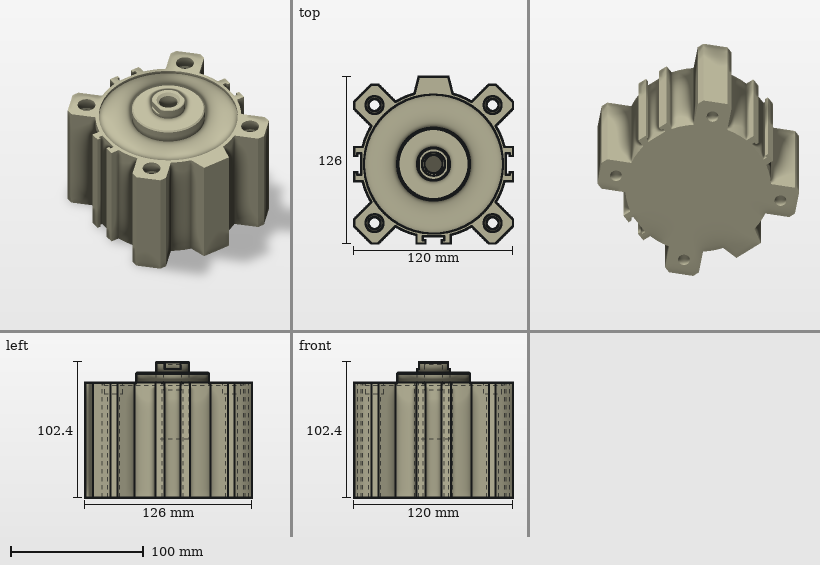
import cadquery as cq

housing_height = 87.1
housing_width = 120.0
barrel_diameter = 110.2

recess_diameter = 105.0
recess_depth = 2.4
collar_diameter = 55.0
collar_height = 7.5
collar_chamfer = 1.0

lug_width = 25.8
lug_reach = 75.6
lug_count = 4
lug_angle = 45
bolt_circle_radius = 63.0
bolt_hole_diameter = 9.0
bolt_counterbore_diameter = 13.5
bolt_counterbore_depth = 8.5

rail_width = 26.1
rail_lip_thickness = 2.5
slot_mouth_width = 12.1
slot_inner_width = 16.0
slot_floor_radius = 54.5
rail_angles = (0, 180, 270)

boss_reach = 66.0
boss_tip_width = 22.4
boss_root_width = 29.0
boss_root_y = 53.0

rod_diameter = 25.0
rod_exposed_height = 7.8
rod_insertion = 50.0
rod_chamfer = 0.5
flat_spacing = 22.0
flat_height = 5.0
rod_hole_diameter = 13.9
rod_hole_depth = 21.0
rod_hole_mouth_diameter = 17.6
rod_hole_mouth_angle = 90

half_width = housing_width / 2
recess_floor = housing_height - recess_depth
collar_top = housing_height + collar_height
rod_top = collar_top + rod_exposed_height
rod_bottom = collar_top - rod_insertion


def make_lugs():
    """Diagonal lugs with their outer corners trimmed to the square envelope."""
    lugs = (
        cq.Workplane("XY")
        .rect(2 * lug_reach, lug_width)
        .extrude(housing_height)
        .union(cq.Workplane("XY").rect(lug_width, 2 * lug_reach).extrude(housing_height))
        .rotate((0, 0, 0), (0, 0, 1), lug_angle)
    )
    envelope = cq.Workplane("XY").rect(housing_width, housing_width).extrude(housing_height)
    return lugs.intersect(envelope)


def make_rail_block(angle):
    """Solid block from the barrel axis out to the rail face, pointing along the given angle."""
    return (
        cq.Workplane("XY")
        .center(half_width / 2, 0)
        .rect(half_width, rail_width)
        .extrude(housing_height)
        .rotate((0, 0, 0), (0, 0, 1), angle)
    )


def make_t_slot(angle):
    """T-slot cutter running the full height between one pair of rails."""
    lip_inside = half_width - rail_lip_thickness
    half_mouth = slot_mouth_width / 2
    half_inner = slot_inner_width / 2
    return (
        cq.Workplane("XY")
        .moveTo(slot_floor_radius, -half_inner)
        .lineTo(lip_inside, -half_inner)
        .lineTo(lip_inside, -half_mouth)
        .lineTo(half_width, -half_mouth)
        .lineTo(half_width, half_mouth)
        .lineTo(lip_inside, half_mouth)
        .lineTo(lip_inside, half_inner)
        .lineTo(slot_floor_radius, half_inner)
        .close()
        .extrude(housing_height)
        .rotate((0, 0, 0), (0, 0, 1), angle)
    )


def make_port_boss():
    """Tapered boss, running inward along Y to the barrel axis."""
    return (
        cq.Workplane("XY")
        .moveTo(-boss_root_width / 2, 0)
        .lineTo(boss_root_width / 2, 0)
        .lineTo(boss_root_width / 2, boss_root_y)
        .lineTo(boss_tip_width / 2, boss_reach)
        .lineTo(-boss_tip_width / 2, boss_reach)
        .lineTo(-boss_root_width / 2, boss_root_y)
        .close()
        .extrude(housing_height)
    )


def make_collar():
    """Chamfered collar rising from the recess floor."""
    return (
        cq.Workplane("XY", origin=(0, 0, recess_floor))
        .circle(collar_diameter / 2)
        .extrude(collar_top - recess_floor)
        .faces(">Z")
        .edges()
        .chamfer(collar_chamfer)
    )


def make_rod():
    """Piston rod with a chamfered blind hole and two wrench flats at its top end."""
    rod = (
        cq.Workplane("XY", origin=(0, 0, rod_bottom))
        .circle(rod_diameter / 2)
        .extrude(rod_top - rod_bottom)
        .faces(">Z")
        .edges()
        .chamfer(rod_chamfer)
    )
    rod = rod.faces(">Z").workplane().cskHole(
        rod_hole_diameter, rod_hole_mouth_diameter, rod_hole_mouth_angle, rod_hole_depth
    )
    flat_cut_depth = (rod_diameter - flat_spacing) / 2
    flat_center = flat_spacing / 2 + flat_cut_depth / 2
    flats = (
        cq.Workplane("XY", origin=(0, 0, rod_top - flat_height))
        .pushPoints([(-flat_center, 0), (flat_center, 0)])
        .rect(flat_cut_depth, rod_diameter)
        .extrude(flat_height)
    )
    return rod.cut(flats)


def make_housing():
    """Barrel with lugs, rails, boss and collar, bored to seat the piston rod."""
    housing = cq.Workplane("XY").circle(barrel_diameter / 2).extrude(housing_height)
    housing = housing.union(make_lugs()).union(make_port_boss())
    for angle in rail_angles:
        housing = housing.union(make_rail_block(angle)).cut(make_t_slot(angle))

    recess = (
        cq.Workplane("XY", origin=(0, 0, recess_floor))
        .circle(recess_diameter / 2)
        .extrude(recess_depth)
    )
    housing = housing.cut(recess).union(make_collar())

    rod_bore = (
        cq.Workplane("XY", origin=(0, 0, rod_bottom))
        .circle(rod_diameter / 2)
        .extrude(rod_insertion)
    )
    housing = housing.cut(rod_bore)

    return (
        housing.copyWorkplane(cq.Workplane("XY", origin=(0, 0, housing_height)))
        .polarArray(bolt_circle_radius, lug_angle, 360, lug_count)
        .cboreHole(bolt_hole_diameter, bolt_counterbore_diameter, bolt_counterbore_depth)
    )


housing = make_housing()
rod = make_rod()
result = cq.Compound.makeCompound([housing.val(), rod.val()])